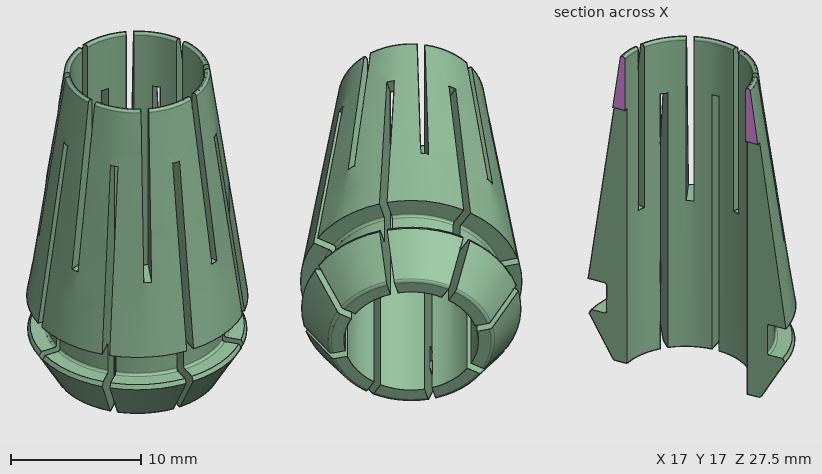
import cadquery as cq
import math

length = 27.5
max_radius = 17.0 / 2
bore_radius = 10.32 / 2

taper_angle = 8.0
taper_bottom_z = 6.7
top_radius = max_radius - (length - taper_bottom_z) * math.tan(math.radians(taper_angle))

groove_radius = 6.9
groove_bottom_z = 4.0

nose_angle = 30.0
nose_radius = 8.62
nose_tip_radius = nose_radius - groove_bottom_z * math.tan(math.radians(nose_angle))
nose_chamfer = 0.4
nose_tip_round = 0.3

edge_round = 0.2

slots_per_end = 8
slot_width = 0.6
bottom_slot_end_z = 22.7
top_slot_end_z = 13.0
slot_overrun = 1.0


def make_body():
    """Revolve the collet profile, bore included, about Z."""
    profile = [
        (bore_radius, 0),
        (nose_tip_radius, 0),
        (nose_radius, groove_bottom_z),
        (groove_radius, groove_bottom_z),
        (groove_radius, taper_bottom_z),
        (max_radius, taper_bottom_z),
        (top_radius, length),
        (bore_radius, length),
    ]
    return cq.Workplane("XZ").polyline(profile).close().revolve(360, (0, 0, 0), (0, 1, 0))


def circular_edges(body, radius, height):
    """The circular edges of the given radius and height, centred on Z."""
    tolerance = 1e-3
    matching = [
        edge
        for edge in body.edges("%CIRCLE").vals()
        if abs(edge.radius() - radius) < tolerance and abs(edge.Center().z - height) < tolerance
    ]
    return body.newObject(matching)


def soften_edges(body):
    """Round the top rim, groove corners and nose tip, and chamfer the widest nose rim."""
    for radius, height in [
        (top_radius, length),
        (bore_radius, length),
        (groove_radius, taper_bottom_z),
        (groove_radius, groove_bottom_z),
    ]:
        body = circular_edges(body, radius, height).fillet(edge_round)
    body = circular_edges(body, nose_tip_radius, 0).fillet(nose_tip_round)
    return circular_edges(body, nose_radius, groove_bottom_z).chamfer(nose_chamfer)


def make_slots(bottom_z, top_z, first_angle):
    """Ring of radial slot cutters spanning the given heights."""
    cutter = cq.Workplane("XY", origin=(0, 0, bottom_z)).box(
        max_radius + slot_overrun, slot_width, top_z - bottom_z, centered=(False, True, False)
    )
    slots = cq.Workplane("XY")
    for index in range(slots_per_end):
        angle = first_angle + index * 360 / slots_per_end
        slots = slots.add(cutter.rotate((0, 0, 0), (0, 0, 1), angle))
    return slots.combine()


half_pitch = 180 / slots_per_end
bottom_slots = make_slots(-slot_overrun, bottom_slot_end_z, 0)
top_slots = make_slots(top_slot_end_z, length + slot_overrun, half_pitch)

result = soften_edges(make_body()).cut(bottom_slots).cut(top_slots)